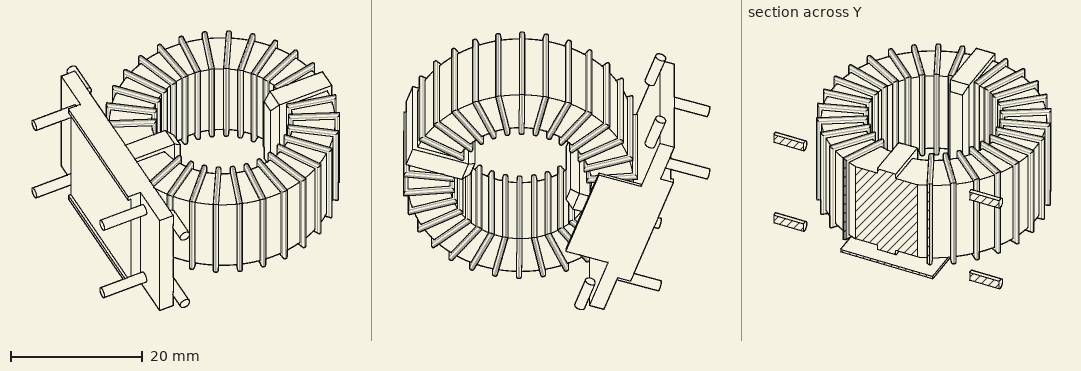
import cadquery as cq


core_outer_radius = 17.1
core_inner_radius = 10.7
core_height = 13.65

wire_thickness = 0.8
wire_edge_radius = 0.3
winding_outer_radius = 17.8
winding_inner_radius = 10.05
winding_height = 15.3
turns_per_side = 13
turn_pitch = 12.0

post_width = 3.15
post_tip_radius = 7.65
post_tip_length = 1.25
post_side_taper = 0.53

flange_top = -16.65
flange_thickness = 2.35
flange_bottom = flange_top - flange_thickness
flange_length = 33.15
carrier_height = 20.3
pedestal_length = 20.15
pedestal_thickness = 1.63
rim_depth = 0.45
rim_width = 0.8
pedestal_bottom = flange_bottom - pedestal_thickness - rim_depth
tab_length = 15.55
tab_end = -9.9
tab_thickness = 0.53

pin_diameter = 1.63
pin_level = 7.6
mounting_pin_spacing = 22.85
mounting_pin_end = -26.15
terminal_span = 38.1
terminal_length = 5.05
terminal_y = -15.95

overlap = 0.45


def block(length, y_low, y_high, z_low, z_high):
    """Box centred on X, between the given Y and Z limits."""
    box = cq.Workplane("XY").box(length, y_high - y_low, z_high - z_low, centered=(True, False, False))
    return box.translate((0, y_low, z_low))


def make_core():
    ring = cq.Workplane("XY").circle(core_outer_radius).circle(core_inner_radius)
    return ring.extrude(core_height / 2, both=True)


def make_turn():
    """One wire turn on the +Y side; its middle lies inside the core, so only the loop stands proud."""
    half_height = winding_height / 2
    turn = block(wire_thickness, winding_inner_radius, winding_outer_radius, -half_height, half_height)
    return turn.faces("<X or >X").edges().fillet(wire_edge_radius)


def make_post(outer_end):
    """Post along +Y whose inner end tapers on all four sides."""
    half_width = post_width / 2
    half_height = winding_height / 2
    shoulder = post_tip_radius + post_tip_length

    def tapered_outline(plane, half_size, taper):
        """Closed outline whose first local axis runs along Y."""
        return plane.polyline([
            (outer_end, -half_size),
            (shoulder, -half_size),
            (post_tip_radius, taper - half_size),
            (post_tip_radius, half_size - taper),
            (shoulder, half_size),
            (outer_end, half_size),
        ]).close()

    side_plane = cq.Workplane("YZ")
    plan_plane = cq.Workplane(cq.Plane(origin=(0, 0, 0), xDir=(0, 1, 0), normal=(0, 0, 1)))
    side = tapered_outline(side_plane, half_height, post_tip_length).extrude(half_width, both=True)
    plan = tapered_outline(plan_plane, half_width, post_side_taper).extrude(half_height, both=True)
    return side.intersect(plan)


def make_carrier():
    half_height = carrier_height / 2
    recess_half_height = half_height - rim_width
    flange = block(flange_length, flange_bottom, flange_top, -half_height, half_height)
    pedestal = block(pedestal_length, pedestal_bottom, flange_bottom, -half_height, half_height)
    recess = block(
        pedestal_length,
        pedestal_bottom,
        pedestal_bottom + rim_depth,
        -recess_half_height,
        recess_half_height,
    )
    tab = block(tab_length, flange_top, tab_end, -half_height, tab_thickness - half_height)
    return flange.union(pedestal).cut(recess).union(tab)


def make_mounting_pins():
    start = flange_bottom + overlap
    pins = cq.Workplane("XZ", origin=(0, start, 0))
    pins = pins.rarray(mounting_pin_spacing, 2 * pin_level, 2, 2).circle(pin_diameter / 2)
    return pins.extrude(start - mounting_pin_end)


def make_terminals(side):
    """Pair of terminals along X, slightly sunk into the flange; side is +1 or -1."""
    outer_end = side * terminal_span / 2
    pins = cq.Workplane("YZ", origin=(outer_end, terminal_y, 0))
    pins = pins.pushPoints([(0, -pin_level), (0, pin_level)]).circle(pin_diameter / 2)
    return pins.extrude(-side * terminal_length)


result = make_core().union(make_carrier())
result = result.union(make_post(winding_outer_radius))
result = result.union(make_post(overlap - flange_top).rotate((0, 0, 0), (0, 0, 1), 180))
result = result.union(make_mounting_pins())

one_turn = make_turn()
for side in (-1, 1):
    result = result.union(make_terminals(side))
    for index in range(1, turns_per_side + 1):
        result = result.union(one_turn.rotate((0, 0, 0), (0, 0, 1), side * index * turn_pitch))